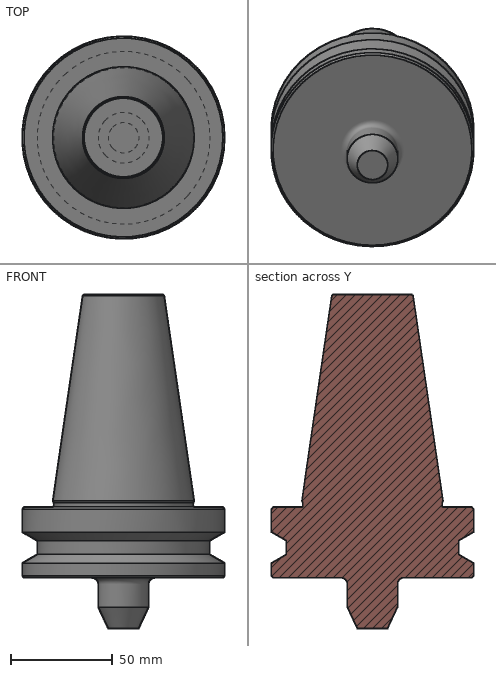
import cadquery as cq
import math


gauge_radius = 69.85 / 2
taper_ratio = 7 / 24
shank_length = 101.8
shank_end_chamfer = 0.7

neck_radius = 34.5
neck_bevel_height = 1.0
neck_fillet = 0.5

flange_radius = 50.0
flange_top = -3.0
flange_bottom = -38.0
flange_chamfer = 1.0
groove_radius = 42.6
groove_center = -23.0
groove_floor_width = 6.7
groove_wall_angle = 30.0

pin_radius = 12.5
pin_fillet = 3.0
pin_tip_radius = 7.5
pin_tip_height = 10.7
pin_bottom = -63.0


def shank_radius(height):
    """Radius of the taper at a height above the gauge plane."""
    return gauge_radius - height * taper_ratio / 2


def fillet_arc_reach(fillet_radius):
    """Distance from the middle of a right-angle corner fillet to each of the two faces it joins."""
    return fillet_radius * (1 - math.sqrt(0.5))


def make_shank():
    arc_reach = fillet_arc_reach(neck_fillet)
    shank_end_radius = shank_radius(shank_length)
    profile = (
        cq.Workplane("XZ")
        .moveTo(0, flange_top)
        .lineTo(neck_radius + neck_fillet, flange_top)
        .threePointArc(
            (neck_radius + arc_reach, flange_top + arc_reach),
            (neck_radius, flange_top + neck_fillet),
        )
        .lineTo(neck_radius, -neck_bevel_height)
        .lineTo(gauge_radius, 0)
        .lineTo(shank_end_radius, shank_length)
        .lineTo(0, shank_length)
        .close()
    )
    return profile.revolve(360, (0, 0), (0, 1)).faces(">Z").edges().chamfer(shank_end_chamfer)


def make_flange():
    flange = (
        cq.Workplane("XY", origin=(0, 0, flange_bottom))
        .circle(flange_radius)
        .extrude(flange_top - flange_bottom)
        .faces("|Z")
        .edges()
        .chamfer(flange_chamfer)
    )
    return flange.cut(make_groove())


def make_groove():
    wall_height = (flange_radius - groove_radius) * math.tan(math.radians(groove_wall_angle))
    half_floor = groove_floor_width / 2
    half_mouth = half_floor + wall_height
    profile = cq.Workplane("XZ").polyline([
        (groove_radius, groove_center - half_floor),
        (flange_radius, groove_center - half_mouth),
        (flange_radius, groove_center + half_mouth),
        (groove_radius, groove_center + half_floor),
    ])
    return profile.close().revolve(360, (0, 0), (0, 1))


def make_pin():
    arc_reach = fillet_arc_reach(pin_fillet)
    profile = (
        cq.Workplane("XZ")
        .moveTo(0, flange_bottom)
        .lineTo(pin_radius + pin_fillet, flange_bottom)
        .threePointArc(
            (pin_radius + arc_reach, flange_bottom - arc_reach),
            (pin_radius, flange_bottom - pin_fillet),
        )
        .lineTo(pin_radius, pin_bottom + pin_tip_height)
        .lineTo(pin_tip_radius, pin_bottom)
        .lineTo(0, pin_bottom)
        .close()
    )
    return profile.revolve(360, (0, 0), (0, 1))


result = make_flange().union(make_shank()).union(make_pin())